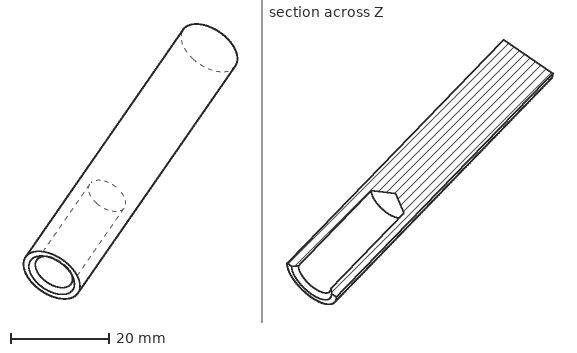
import cadquery as cq
import math

length = 70.0
outer_diameter = 13.0
bore_diameter = 8.55
mouth_diameter = 10.5
bore_depth = 24.5
drill_point_angle = 118.0
countersink_angle = 90.0

outer_radius = outer_diameter / 2
bore_radius = bore_diameter / 2
mouth_radius = mouth_diameter / 2
half_length = length / 2
countersink_depth = (mouth_radius - bore_radius) / math.tan(math.radians(countersink_angle / 2))
drill_point_depth = bore_radius / math.tan(math.radians(drill_point_angle / 2))


def make_rod():
    """Plain cylinder along Y."""
    return cq.Workplane("XZ", origin=(0, half_length, 0)).circle(outer_radius).extrude(length)


def make_blind_hole():
    """Countersunk drilled hole with a conical bottom, entering from the -Y end."""
    mouth_y = -half_length
    bore_end_y = mouth_y + bore_depth
    profile = (
        cq.Workplane("XY")
        .moveTo(0, mouth_y)
        .lineTo(mouth_radius, mouth_y)
        .lineTo(bore_radius, mouth_y + countersink_depth)
        .lineTo(bore_radius, bore_end_y)
        .lineTo(0, bore_end_y + drill_point_depth)
        .close()
    )
    return profile.revolve(360, (0, 0, 0), (0, 1, 0))


result = make_rod().cut(make_blind_hole())